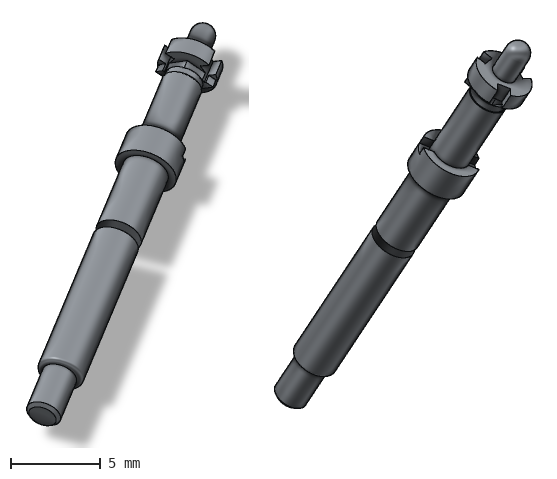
import cadquery as cq
LENGTH = 28.7

PLUNGER_DIAMETER = 1.45
HEAD_DIAMETER = 3.5
NECK_DIAMETER = 2.18
BARREL_DIAMETER = 2.32
COLLAR_DIAMETER = 3.6
SLEEVE_DIAMETER = 2.67
TAIL_DIAMETER = 2.0

TAIL_LENGTH = 2.98
SLEEVE_LENGTH = 15.05
COLLAR_LENGTH = 1.85
BARREL_LENGTH = 4.48
NECK_LENGTH = 0.43
DIAMOND_LENGTH = 0.52
HEAD_LENGTH = 1.03

SLEEVE_REAR = TAIL_LENGTH
COLLAR_REAR = SLEEVE_REAR + SLEEVE_LENGTH
BARREL_REAR = COLLAR_REAR + COLLAR_LENGTH
NECK_REAR = BARREL_REAR + BARREL_LENGTH
DIAMOND_REAR = NECK_REAR + NECK_LENGTH
HEAD_REAR = DIAMOND_REAR + DIAMOND_LENGTH
HEAD_FRONT = HEAD_REAR + HEAD_LENGTH

TAIL_CHAMFER = 0.2
SLEEVE_FILLET = 0.25
GROOVE_Y = 13.03
GROOVE_RADIUS = 0.25

DIAMOND_WIDTH = 3.35
DIAMOND_HEIGHT = 2.18

NOTCH_ANGLES = (30, 150, 270)
NOTCH_WIDTH = 0.8
NOTCH_FLOOR = 1.12

COLLAR_SLOT_WIDTH = 0.95
COLLAR_SLOT_DEPTH = 0.52


def cylinder(diameter, start, end):
    """A cylinder on the Y axis from y = start to y = end."""
    return (
        cq.Workplane("YZ")
        .moveTo(start, 0)
        .rect(end - start, diameter / 2, centered=False)
        .revolve(360, (0, 0), (1, 0))
    )


def section_plane(y):
    """A plane across the pin at the given y, extruding towards the dome: local x is X, local y is -Z."""
    return cq.Workplane(cq.Plane(origin=(0, y, 0), xDir=(1, 0, 0), normal=(0, 1, 0)))


def make_plunger():
    radius = PLUNGER_DIAMETER / 2
    dome_base = LENGTH - radius
    shaft = cylinder(PLUNGER_DIAMETER, HEAD_REAR, dome_base)
    dome = (
        cq.Workplane("YZ")
        .moveTo(dome_base, 0)
        .lineTo(dome_base, radius)
        .radiusArc((LENGTH, 0), radius)
        .close()
        .revolve(360, (0, 0), (1, 0))
    )
    return shaft.union(dome)


def make_head():
    disc = section_plane(HEAD_REAR).circle(HEAD_DIAMETER / 2).extrude(HEAD_LENGTH)
    diamond = (
        section_plane(DIAMOND_REAR)
        .polyline(
            [
                (DIAMOND_WIDTH / 2, 0),
                (0, DIAMOND_HEIGHT / 2),
                (-DIAMOND_WIDTH / 2, 0),
                (0, -DIAMOND_HEIGHT / 2),
            ]
        )
        .close()
        .extrude(DIAMOND_LENGTH)
    )
    head = disc.union(diamond)
    notch = cq.Workplane("XY").box(
        HEAD_DIAMETER, HEAD_FRONT - DIAMOND_REAR, NOTCH_WIDTH, centered=(False, False, True)
    )
    notch = notch.translate((NOTCH_FLOOR, DIAMOND_REAR, 0))
    for angle in NOTCH_ANGLES:
        head = head.cut(notch.rotate((0, 0, 0), (0, 1, 0), -angle))
    return head


def make_collar():
    collar = cylinder(COLLAR_DIAMETER, COLLAR_REAR, BARREL_REAR)
    slots = cq.Workplane("XY").box(
        COLLAR_DIAMETER, COLLAR_SLOT_DEPTH, COLLAR_SLOT_WIDTH, centered=(True, False, True)
    )
    return collar.cut(slots.translate((0, BARREL_REAR - COLLAR_SLOT_DEPTH, 0)))


def make_sleeve():
    sleeve = cylinder(SLEEVE_DIAMETER, SLEEVE_REAR, COLLAR_REAR).faces("<Y").edges().fillet(SLEEVE_FILLET)
    groove = (
        cq.Workplane("YZ")
        .center(GROOVE_Y, SLEEVE_DIAMETER / 2)
        .circle(GROOVE_RADIUS)
        .revolve(360, (0, -SLEEVE_DIAMETER / 2), (1, -SLEEVE_DIAMETER / 2))
    )
    return sleeve.cut(groove)


tail = cylinder(TAIL_DIAMETER, 0, SLEEVE_REAR).faces("<Y").edges().chamfer(TAIL_CHAMFER)
barrel = cylinder(BARREL_DIAMETER, COLLAR_REAR, NECK_REAR)
neck = cylinder(NECK_DIAMETER, NECK_REAR, DIAMOND_REAR)

result = tail
for section in (make_sleeve(), make_collar(), barrel, neck, make_head(), make_plunger()):
    result = result.union(section)